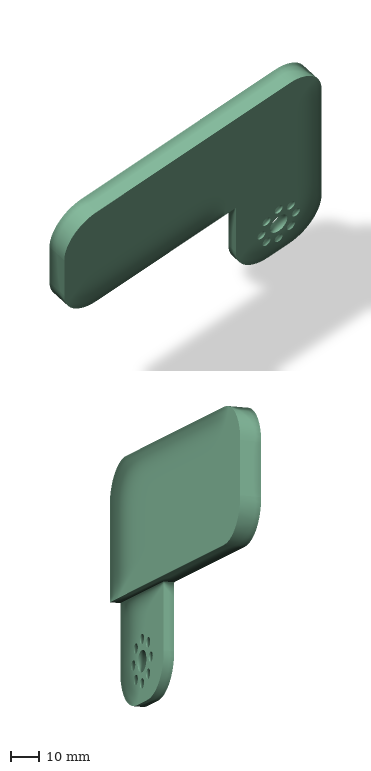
import cadquery as cq

length = 120.0
height = 90.0
plate_thickness = 8.0
corner_radius = 15.0

tab_size = 40.0
tab_thickness = plate_thickness / 2
plate_height = height - tab_size

center_hole_diameter = 8.0
small_hole_diameter = 3.7
small_hole_count = 8
hole_ring_radius = 8.0
hole_center_y = length - tab_size / 2
hole_center_z = corner_radius


def block(thickness, width, block_height, y_start, z_start):
    """Box whose +X face lies on the common rear plane."""
    return cq.Workplane("XY").box(thickness, width, block_height, centered=False).translate(
        (plate_thickness - thickness, y_start, z_start)
    )


def make_plate():
    """Main plate; the corner above the tab's outer edge stays square."""
    plate = block(plate_thickness, length, plate_height, 0, tab_size)
    return plate.edges("|X and (<Y or >Z)").fillet(corner_radius)


def make_tab():
    """Tab hanging below the +Y end of the plate, rounded at the bottom."""
    tab = block(tab_thickness, tab_size, tab_size, length - tab_size, 0)
    return tab.edges("|X and <Z").fillet(corner_radius)


def make_hole_cutters():
    """Central hole surrounded by a ring of small holes, all through the tab."""
    center = cq.Workplane("YZ").center(hole_center_y, hole_center_z)
    bore = center.circle(center_hole_diameter / 2).extrude(plate_thickness)
    ring = (
        center.polarArray(hole_ring_radius, 0, 360, small_hole_count)
        .circle(small_hole_diameter / 2)
        .extrude(plate_thickness)
    )
    return bore.union(ring)


result = make_plate().union(make_tab()).cut(make_hole_cutters())